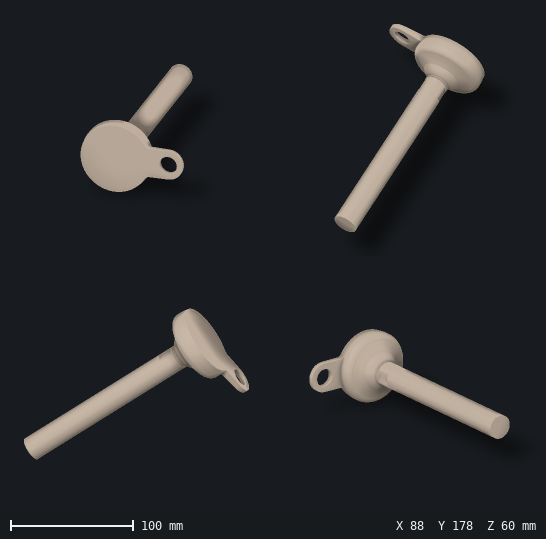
import cadquery as cq
import math

total_length = 178.0

foot_diameter = 60.0
foot_radius = foot_diameter / 2
underside_radius = 29.2
taper_height = 6.0
rim_top = 9.0
shoulder_radius = 24.7
shoulder_height = 15.7
mouth_radius = 16.2
mouth_height = 20.0
seat_height = 20.8
shoulder_bulge = 1.6
flare_bulge = 0.4

overall_width = 88.0
lug_radius = 12.5
lug_center_x = overall_width - foot_radius - lug_radius
lug_hole_radius = 7.5
lug_fillet = 5.0
lug_root_thickness = 5.5
lug_tip_thickness = 3.7

shaft_radius = 10.0
shaft_start = 28.5
ball_radius = 20.1
ball_center = 8.0
collar_bottom = 26.7
collar_top = 27.0
neck_radius = 9.3
groove_radius = 8.9
flat_width = 17.0
flat_start = 29.5
flat_end = 41.3


def bulged_midpoint(start, end, bulge):
    """Point beside the middle of a chord, to the right of its direction for a positive bulge."""
    run = end[0] - start[0]
    rise = end[1] - start[1]
    chord = math.hypot(run, rise)
    return (
        (start[0] + end[0]) / 2 + bulge * rise / chord,
        (start[1] + end[1]) / 2 - bulge * run / chord,
    )


def revolve_about_y(profile):
    return profile.close().revolve(360, (0, 0, 0), (0, 1, 0))


def make_lug():
    """Rounded lug with a sloping back, blended into the foot outline."""
    disc = revolve_about_y(
        cq.Workplane("XY")
        .moveTo(0, 0)
        .lineTo(underside_radius, 0)
        .lineTo(foot_radius, taper_height)
        .lineTo(0, taper_height)
    )
    arm = (
        cq.Workplane("XZ")
        .moveTo(0, -lug_radius)
        .lineTo(lug_center_x, -lug_radius)
        .threePointArc((lug_center_x + lug_radius, 0), (lug_center_x, lug_radius))
        .lineTo(0, lug_radius)
        .close()
        .extrude(-taper_height)
    )
    junction_x = math.sqrt(((underside_radius + foot_radius) / 2) ** 2 - lug_radius**2)
    blank = disc.union(arm)
    for side in (-1, 1):
        corner = (junction_x, taper_height / 2, side * lug_radius)
        blank = blank.edges(cq.selectors.NearestToPointSelector(corner)).fillet(lug_fillet)

    lug_tip_x = lug_center_x + lug_radius
    wedge = (
        cq.Workplane("XY")
        .moveTo(-foot_radius, 0)
        .lineTo(lug_tip_x, 0)
        .lineTo(lug_tip_x, lug_tip_thickness)
        .lineTo(foot_radius, lug_root_thickness)
        .lineTo(-foot_radius, lug_root_thickness)
        .close()
        .extrude(foot_radius, both=True)
    )
    return blank.intersect(wedge)


def make_foot():
    """Bell-shaped foot with a flat seat for the stud and a drilled anchor lug."""
    rim = (foot_radius, rim_top)
    shoulder = (shoulder_radius, shoulder_height)
    mouth = (mouth_radius, mouth_height)
    bell = revolve_about_y(
        cq.Workplane("XY")
        .moveTo(0, 0)
        .lineTo(underside_radius, 0)
        .lineTo(foot_radius, taper_height)
        .lineTo(*rim)
        .threePointArc(bulged_midpoint(rim, shoulder, shoulder_bulge), shoulder)
        .threePointArc(bulged_midpoint(shoulder, mouth, -flare_bulge), mouth)
        .lineTo(*ball_point(seat_height))
        .lineTo(0, seat_height)
    )
    hole = (
        cq.Workplane("XZ")
        .center(lug_center_x, 0)
        .circle(lug_hole_radius)
        .extrude(-lug_root_thickness)
    )
    return bell.union(make_lug()).cut(hole)


def ball_point(height):
    """Point of the ball's profile at a given height above the underside."""
    rise = height - ball_center
    return (math.sqrt(ball_radius**2 - rise**2), height)


def make_stud():
    """Round shaft with wrench flats, a grooved neck and a spherical end on the seat."""
    ball_top = ball_center + math.sqrt(ball_radius**2 - neck_radius**2)
    body = revolve_about_y(
        cq.Workplane("XY")
        .moveTo(0, seat_height)
        .lineTo(*ball_point(seat_height))
        .threePointArc(ball_point((seat_height + ball_top) / 2), (neck_radius, ball_top))
        .lineTo(neck_radius, collar_bottom)
        .lineTo(shaft_radius, collar_bottom)
        .lineTo(shaft_radius, collar_top)
        .lineTo(groove_radius, collar_top)
        .lineTo(groove_radius, shaft_start)
        .lineTo(shaft_radius, shaft_start)
        .lineTo(shaft_radius, total_length)
        .lineTo(0, total_length)
    )
    flat_length = flat_end - flat_start
    for side in (-1, 1):
        flat_cut = cq.Workplane("XY").box(shaft_radius, flat_length, 2 * shaft_radius).translate(
            (side * (flat_width + shaft_radius) / 2, (flat_start + flat_end) / 2, 0)
        )
        body = body.cut(flat_cut)
    return body


foot = make_foot()
stud = make_stud()

result = cq.Compound.makeCompound([foot.solids().val(), stud.solids().val()])